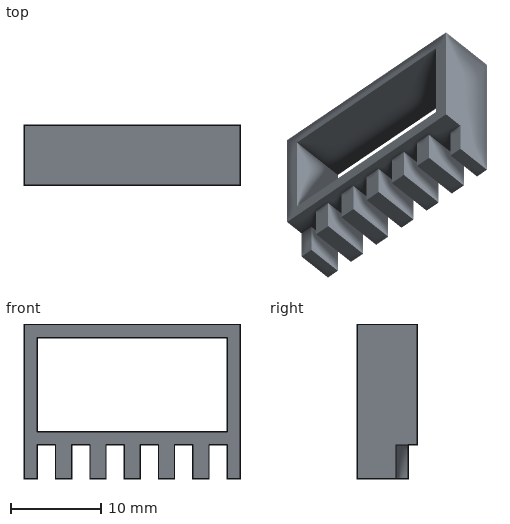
import cadquery as cq

length = 24.02
depth = 6.68
height = 17.15

wall = 1.5
tooth_height = 3.77
frame_height = height - tooth_height
window_length = length - 2 * wall
window_height = frame_height - 2 * wall

gap_count = 6
gap_width = 2.0
gap_pitch = (window_length - gap_width) / (gap_count - 1)
tooth_width = gap_pitch - gap_width

end_tooth_depth = 4.32
inner_tooth_depth = 5.7


def block(x, z, size_x, size_y, size_z):
    """Box on the front face, placed by its lower left front corner."""
    return cq.Workplane("XY").box(size_x, size_y, size_z, centered=False).translate((x, 0, z))


frame = block(0, tooth_height, length, depth, frame_height)
window = block(wall, tooth_height + wall, window_length, depth, window_height)
result = frame.cut(window)

for x in (0, length - wall):
    result = result.union(block(x, 0, wall, end_tooth_depth, tooth_height))

for index in range(gap_count - 1):
    x = wall + gap_width + index * gap_pitch
    result = result.union(block(x, 0, tooth_width, inner_tooth_depth, tooth_height))